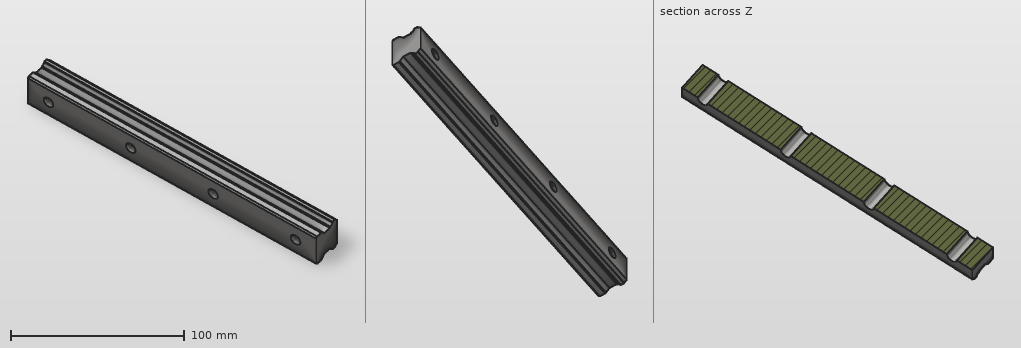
import cadquery as cq

length = 210.0
height = 20.0
width = 23.0
half_width = width / 2

base_chamfer = 1.0

groove_start = 4.7
groove_end = 15.8
floor_depth = 2.85
floor_start = 7.8
floor_end = 12.9

ramp_ease_run = 0.75
ramp_ease_depth = 0.4
track_ease_run = 0.4
track_ease_depth = 0.2

track_end_depth = 1.9
ledge_start = 13.4
ledge_end = 14.1
ledge_start_depth = 2.1
track_middle_y = 14.95
track_middle_depth = 1.35

head_step_start = 18.1
head_step_depth = 0.4
head_bevel_depth = 2.0

hole_diameter = 7.0
hole_count = 4
hole_pitch = 60.0
hole_margin = (length - hole_pitch * (hole_count - 1)) / 2


def flank_point(y, depth):
    """Profile point at height y, sunk by depth below the +Z flank."""
    return (y, half_width - depth)


def make_half_profile():
    """Cross-section of the rail on the +Z side of its middle plane."""
    return (
        cq.Workplane("YZ")
        .moveTo(0, 0)
        .lineTo(*flank_point(0, base_chamfer))
        .lineTo(*flank_point(base_chamfer, 0))
        .lineTo(*flank_point(groove_start, 0))
        .lineTo(*flank_point(groove_start + ramp_ease_run, ramp_ease_depth))
        .lineTo(*flank_point(floor_start, floor_depth))
        .lineTo(*flank_point(floor_end, floor_depth))
        .lineTo(*flank_point(ledge_start, ledge_start_depth))
        .lineTo(*flank_point(ledge_end, track_end_depth))
        .threePointArc(
            flank_point(track_middle_y, track_middle_depth),
            flank_point(groove_end - track_ease_run, track_ease_depth),
        )
        .lineTo(*flank_point(groove_end, 0))
        .lineTo(*flank_point(head_step_start, 0))
        .lineTo(*flank_point(head_step_start, head_step_depth))
        .lineTo(*flank_point(height, head_bevel_depth))
        .lineTo(height, 0)
        .close()
    )


def make_rail():
    """Both halves of the section joined along the length, starting at X = 0."""
    half_rail = make_half_profile().extrude(length)
    return half_rail.union(half_rail.mirror("XY")).clean()


def make_mounting_holes():
    centers = [(hole_margin + i * hole_pitch, 0) for i in range(hole_count)]
    return (
        cq.Workplane("XZ")
        .pushPoints(centers)
        .circle(hole_diameter / 2)
        .extrude(-height)
    )


result = make_rail().cut(make_mounting_holes())